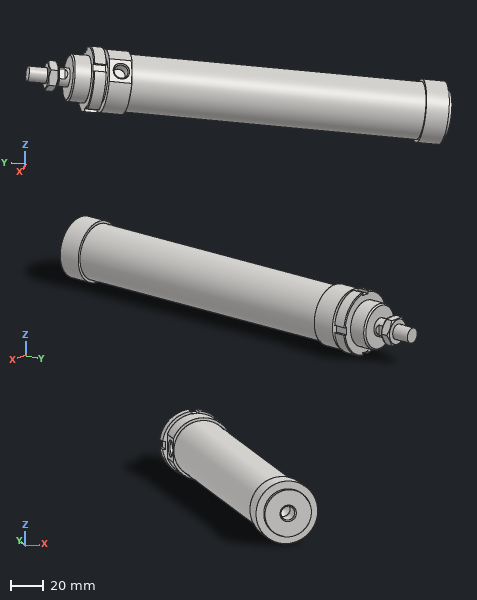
import cadquery as cq
import math

TOTAL_LENGTH = 269.5

BOSS_DIAMETER = 30.0
BOSS_LENGTH = 3.0
CAP_DIAMETER = 40.0
PORT_FLAT_OFFSET = 18.5
REAR_CAP_LENGTH = 14.6
FRONT_CAP_LENGTH = 14.6
TUBE_DIAMETER = 36.5
NOSE_LENGTH = 22.0
NOSE_CHAMFER = 1.0
SHOULDER_FROM_ROD_TIP = 48.0

REAR_CAP_END_Y = BOSS_LENGTH + REAR_CAP_LENGTH
SHOULDER_Y = TOTAL_LENGTH - SHOULDER_FROM_ROD_TIP
FRONT_CAP_START_Y = SHOULDER_Y - FRONT_CAP_LENGTH
NOSE_FACE_Y = SHOULDER_Y + NOSE_LENGTH

HOLE_MOUTH_DIAMETER = 10.5
REAR_HOLE_DIAMETER = 8.8
PORT_DIAMETER = 8.8
PORT_FROM_SHOULDER = 7.8
PORT_DEPTH = 8.0
REAR_HOLE_DEPTH = 12.0
DRILL_POINT_ANGLE = 118.0

ROD_DIAMETER = 12.0
THREAD_DIAMETER = 10.0
RELIEF_DIAMETER = 9.2
RELIEF_LENGTH = 2.0
THREADED_END_LENGTH = 19.5
ROD_SHOULDER_Y = TOTAL_LENGTH - THREADED_END_LENGTH
WRENCH_WIDTH = 10.0
WRENCH_FLAT_LENGTH = 3.3
WRENCH_RAMP_LENGTH = 1.7

ROD_NUT_WIDTH = 17.0
ROD_NUT_SIDES = 6
HEX_HALF_ANGLE = 180 / ROD_NUT_SIDES
ROD_NUT_THICKNESS = 6.2
ROD_NUT_FACE_DIAMETER = 16.3
ROD_NUT_FROM_TIP = 11.8
ROD_NUT_CHAMFER_ANGLE = 30.0

MOUNT_NUT_DIAMETER = 42.0
MOUNT_NUT_THICKNESS = 8.0
MOUNT_NUT_CHAMFER = 0.6
MOUNT_NUT_GAP = 2.5
MOUNT_NUT_SLOT_WIDTH = 5.0
MOUNT_NUT_SLOT_DEPTH = 2.0
MOUNT_NUT_SLOTS = 4


def turned(points):
    """Solid of revolution about Y from (radius, y) points."""
    return cq.Workplane("XY").polyline(points).close().revolve(360, (0, 0, 0), (0, 1, 0))


def rod_cylinder(diameter, start_y, length):
    """Solid cylinder on the Y axis reaching from start_y toward the rod tip."""
    return cq.Workplane("XZ", origin=(0, start_y, 0)).circle(diameter / 2).extrude(-length)


def make_rear_hole():
    """Cutter for the countersunk blind hole with a drill point."""
    hole_radius = REAR_HOLE_DIAMETER / 2
    mouth_radius = HOLE_MOUTH_DIAMETER / 2
    point_length = hole_radius / math.tan(math.radians(DRILL_POINT_ANGLE / 2))
    return turned([
        (0, 0),
        (mouth_radius, 0),
        (hole_radius, mouth_radius - hole_radius),
        (hole_radius, REAR_HOLE_DEPTH),
        (0, REAR_HOLE_DEPTH + point_length),
    ])


def make_port():
    """Cutter for the flat on the -X side of the front cap and the countersunk blind port in it."""
    cap_centre_y = FRONT_CAP_START_Y + FRONT_CAP_LENGTH / 2
    cap_radius = CAP_DIAMETER / 2
    flat_depth = cap_radius - PORT_FLAT_OFFSET
    flat = cq.Workplane("XY").box(flat_depth, FRONT_CAP_LENGTH, CAP_DIAMETER)
    flat = flat.translate((-PORT_FLAT_OFFSET - flat_depth / 2, cap_centre_y, 0))
    face = cq.Workplane("YZ", origin=(-PORT_FLAT_OFFSET, SHOULDER_Y - PORT_FROM_SHOULDER, 0))
    bore = face.circle(PORT_DIAMETER / 2).extrude(PORT_DEPTH)
    mouth = (
        face.circle(HOLE_MOUTH_DIAMETER / 2)
        .workplane(offset=(HOLE_MOUTH_DIAMETER - PORT_DIAMETER) / 2)
        .circle(PORT_DIAMETER / 2)
        .loft()
    )
    return flat.union(bore).union(mouth)


def make_cylinder_body():
    """Rear boss, rear cap, tube, front cap and nose, with both holes cut."""
    boss_radius = BOSS_DIAMETER / 2
    cap_radius = CAP_DIAMETER / 2
    tube_radius = TUBE_DIAMETER / 2
    body = turned([
        (0, 0),
        (boss_radius, 0),
        (boss_radius, BOSS_LENGTH),
        (cap_radius, BOSS_LENGTH),
        (cap_radius, REAR_CAP_END_Y),
        (tube_radius, REAR_CAP_END_Y),
        (tube_radius, FRONT_CAP_START_Y),
        (cap_radius, FRONT_CAP_START_Y),
        (cap_radius, SHOULDER_Y),
        (boss_radius, SHOULDER_Y),
        (boss_radius, NOSE_FACE_Y - NOSE_CHAMFER),
        (boss_radius - NOSE_CHAMFER, NOSE_FACE_Y),
        (0, NOSE_FACE_Y),
    ])
    return body.cut(make_rear_hole()).cut(make_port())


def make_wrench_flat():
    """Cutter for the +X flat: open at the rod shoulder, ramping out toward the nose."""
    ramp_y = ROD_SHOULDER_Y - WRENCH_FLAT_LENGTH
    flat_x = WRENCH_WIDTH / 2
    rod_x = ROD_DIAMETER / 2
    return (
        cq.Workplane("XY")
        .polyline([
            (flat_x, ROD_SHOULDER_Y),
            (flat_x, ramp_y),
            (rod_x, ramp_y - WRENCH_RAMP_LENGTH),
            (rod_x, ROD_SHOULDER_Y),
        ])
        .close()
        .extrude(ROD_DIAMETER / 2, both=True)
    )


def make_rod():
    """Rod standing on the nose face, with wrench flats, thread relief and thread."""
    thread_y = ROD_SHOULDER_Y + RELIEF_LENGTH
    rod = rod_cylinder(ROD_DIAMETER, NOSE_FACE_Y, ROD_SHOULDER_Y - NOSE_FACE_Y)
    rod = rod.union(rod_cylinder(RELIEF_DIAMETER, ROD_SHOULDER_Y, RELIEF_LENGTH))
    rod = rod.union(rod_cylinder(THREAD_DIAMETER, thread_y, TOTAL_LENGTH - thread_y))
    flat = make_wrench_flat()
    return rod.cut(flat).cut(flat.mirror("YZ"))


def make_rod_nut():
    """Hexagonal nut with corners on X and both ends chamfered."""
    across_corners = ROD_NUT_WIDTH / math.cos(math.radians(HEX_HALF_ANGLE))
    end_y = TOTAL_LENGTH - ROD_NUT_FROM_TIP
    start_y = end_y - ROD_NUT_THICKNESS
    face_radius = ROD_NUT_FACE_DIAMETER / 2
    corner_radius = across_corners / 2
    chamfer_length = (corner_radius - face_radius) * math.tan(math.radians(ROD_NUT_CHAMFER_ANGLE))
    hexagon = (
        cq.Workplane("XZ", origin=(0, start_y, 0))
        .polygon(ROD_NUT_SIDES, across_corners)
        .extrude(-ROD_NUT_THICKNESS)
    )
    chamfer_envelope = turned([
        (0, start_y),
        (face_radius, start_y),
        (corner_radius, start_y + chamfer_length),
        (corner_radius, end_y - chamfer_length),
        (face_radius, end_y),
        (0, end_y),
    ])
    bore = rod_cylinder(THREAD_DIAMETER, start_y, ROD_NUT_THICKNESS)
    return hexagon.intersect(chamfer_envelope).cut(bore)


def make_mount_nut():
    """Ring nut with its front rim chamfered and open slots spaced evenly around it."""
    start_y = SHOULDER_Y + MOUNT_NUT_GAP
    end_y = start_y + MOUNT_NUT_THICKNESS
    bore_radius = BOSS_DIAMETER / 2
    outer_radius = MOUNT_NUT_DIAMETER / 2
    nut = turned([
        (bore_radius, start_y),
        (outer_radius, start_y),
        (outer_radius, end_y - MOUNT_NUT_CHAMFER),
        (outer_radius - MOUNT_NUT_CHAMFER, end_y),
        (bore_radius, end_y),
    ])
    slot_centre_x = (MOUNT_NUT_DIAMETER - MOUNT_NUT_SLOT_DEPTH) / 2
    slot = cq.Workplane("XY").box(MOUNT_NUT_SLOT_DEPTH, MOUNT_NUT_THICKNESS, MOUNT_NUT_SLOT_WIDTH)
    slot = slot.translate((slot_centre_x, start_y + MOUNT_NUT_THICKNESS / 2, 0))
    for index in range(MOUNT_NUT_SLOTS):
        angle = 360 / MOUNT_NUT_SLOTS * index
        nut = nut.cut(slot.rotate((0, 0, 0), (0, 1, 0), angle))
    return nut


cylinder_body = make_cylinder_body()
rod = make_rod()
rod_nut = make_rod_nut()
mount_nut = make_mount_nut()

result = cq.Compound.makeCompound([
    cylinder_body.val(),
    rod.val(),
    rod_nut.val(),
    mount_nut.val(),
])